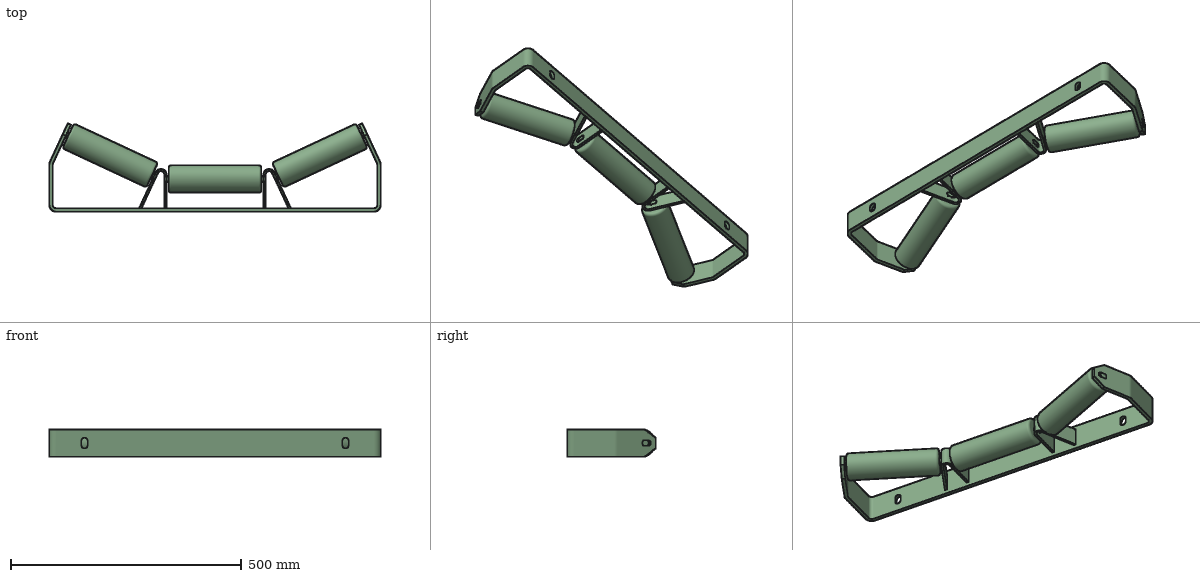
import cadquery as cq
import math

FRAME_LENGTH = 720.0
FRAME_HEIGHT = 192.0
BAR_WIDTH = 60.0
FRAME_THICKNESS = 8.0
FRAME_BEND_RADIUS = 15.0
ARM_BEND_HEIGHT = 106.0
ARM_ANGLE = 25.0
ARM_CORNER_ALONG = 27.0
ARM_CORNER_ACROSS = 18.0

MOUNT_SLOT_SPACING = 567.0
MOUNT_SLOT_LENGTH = 23.0
MOUNT_SLOT_WIDTH = 14.0

BRACKET_WIDTH = 40.0
BRACKET_THICKNESS = 5.0
BRACKET_BEND_RADIUS = 12.0

ROLLER_LENGTH = 201.5
ROLLER_DIAMETER = 60.0
ROLLER_EDGE_RADIUS = 6.0
ROLLER_GAP = 4.0
SHAFT_DIAMETER = 15.0
SHAFT_FLATS = 11.5
SHAFT_SLOT_LENGTH = 20.0
SIDE_SHAFT_FROM_TIP = 24.5
MIDDLE_SHAFT_HEIGHT = 71.0

angle = math.radians(ARM_ANGLE)
half_length = FRAME_LENGTH / 2
support_distance = ROLLER_LENGTH / 2 + ROLLER_GAP

arm_bend = cq.Vector(-half_length, ARM_BEND_HEIGHT)
along_arm = cq.Vector(math.sin(angle), math.cos(angle))
along_side_roller = cq.Vector(math.cos(angle), -math.sin(angle))
arm_length = (FRAME_HEIGHT - ARM_BEND_HEIGHT) / math.cos(angle)
arm_tip = arm_bend + along_arm * arm_length

side_roller_centre = (
    arm_tip
    - along_arm * SIDE_SHAFT_FROM_TIP
    + along_side_roller * (FRAME_THICKNESS + support_distance)
)
middle_roller_centre = cq.Vector(0, MIDDLE_SHAFT_HEIGHT)


def bent_strip(path, width, thickness, bend_radius):
    """Strip, width along Z, whose outer face follows path; the material lies to the left of it."""
    directions = [(end - start).normalized() for start, end in zip(path, path[1:])]
    normals = [cq.Vector(-d.y, d.x) for d in directions]
    inner = [path[0] + normals[0] * thickness]
    for corner, before, after in zip(path[1:-1], normals, normals[1:]):
        mitre = (before + after) * (thickness / (1 + before.dot(after)))
        inner.append(corner + mitre)
    inner.append(path[-1] + normals[-1] * thickness)

    outline = [(p.x, p.y) for p in path + inner[::-1]]
    strip = cq.Workplane("XY").polyline(outline).close().extrude(width / 2, both=True)
    for corners, radius in ((path, bend_radius), (inner, bend_radius - thickness)):
        for corner in corners[1:-1]:
            strip = strip.edges(cq.NearestToPointSelector((corner.x, corner.y, 0))).fillet(radius)
    return strip


def place_left(body):
    """Move a body built along X at the origin to the left inclined roller position."""
    return body.rotate((0, 0, 0), (0, 0, 1), -ARM_ANGLE).translate(side_roller_centre)


def place_middle(body):
    return body.translate(middle_roller_centre)


def mirrored(body):
    return body.mirror("YZ")


def make_shaft(left_depth, right_depth):
    """Round bar with two flats, reaching the given depths into the left and right supports."""
    start = -support_distance - left_depth
    length = 2 * support_distance + left_depth + right_depth
    bar = cq.Workplane("YZ", origin=(start, 0, 0)).circle(SHAFT_DIAMETER / 2).extrude(length)
    slab = (
        cq.Workplane("YZ", origin=(start, 0, 0))
        .rect(SHAFT_DIAMETER, SHAFT_FLATS)
        .extrude(length)
    )
    return bar.intersect(slab)


def make_roller(left_depth, right_depth):
    """Roller with rounded ends on its shaft."""
    shell = (
        cq.Workplane("YZ", origin=(-ROLLER_LENGTH / 2, 0, 0))
        .circle(ROLLER_DIAMETER / 2)
        .extrude(ROLLER_LENGTH)
    )
    shell = shell.faces("<X or >X").edges().fillet(ROLLER_EDGE_RADIUS)
    return shell.union(make_shaft(left_depth, right_depth))


def shaft_slots(left_depth, right_depth):
    """Cutter for the slots at both ends of a roller, with lower ends shaped to seat the shaft."""
    slots = (
        cq.Workplane("YZ", origin=(-support_distance - left_depth, 0, 0))
        .center((SHAFT_SLOT_LENGTH - SHAFT_DIAMETER) / 2, 0)
        .slot2D(SHAFT_SLOT_LENGTH, SHAFT_FLATS)
        .extrude(2 * support_distance + left_depth + right_depth)
    )
    return slots.union(make_shaft(left_depth, right_depth))


side_slots = place_left(shaft_slots(FRAME_THICKNESS, BRACKET_BEND_RADIUS))
middle_slots = place_middle(shaft_slots(BRACKET_BEND_RADIUS, BRACKET_BEND_RADIUS))


def arm_corner_cutter():
    """Triangular prisms that chamfer both corners of the left arm tip."""
    tip_plane = cq.Plane(
        origin=arm_tip.toTuple(), xDir=along_arm.toTuple(), normal=along_side_roller.toTuple()
    )
    edge = BAR_WIDTH / 2
    cutter = cq.Workplane(tip_plane)
    for side in (-1, 1):
        cutter = (
            cutter.moveTo(0, side * edge)
            .lineTo(-ARM_CORNER_ALONG, side * edge)
            .lineTo(0, side * (edge - ARM_CORNER_ACROSS))
            .close()
        )
    return cutter.extrude(FRAME_THICKNESS)


def make_frame():
    left_path = [arm_tip, arm_bend, cq.Vector(-half_length, 0)]
    right_path = [cq.Vector(-p.x, p.y) for p in reversed(left_path)]
    frame = bent_strip(left_path + right_path, BAR_WIDTH, FRAME_THICKNESS, FRAME_BEND_RADIUS)

    for cutter in (arm_corner_cutter(), side_slots):
        frame = frame.cut(cutter).cut(mirrored(cutter))

    mount_slots = (
        cq.Workplane("XZ")
        .pushPoints([(-MOUNT_SLOT_SPACING / 2, 0), (MOUNT_SLOT_SPACING / 2, 0)])
        .slot2D(MOUNT_SLOT_LENGTH, MOUNT_SLOT_WIDTH, 90)
        .extrude(-FRAME_THICKNESS)
    )
    return frame.cut(mount_slots)


def make_left_bracket():
    """Inverted V with one leg square to the left roller and one square to the middle roller."""
    inclined_face = side_roller_centre + along_side_roller * support_distance
    upright_x = -support_distance
    apex = inclined_face + along_arm * ((upright_x - inclined_face.x) / along_arm.x)
    inclined_foot = apex - along_arm * (apex.y / along_arm.y)
    upright_foot = cq.Vector(upright_x, 0)
    bracket = bent_strip(
        [upright_foot, apex, inclined_foot], BRACKET_WIDTH, BRACKET_THICKNESS, BRACKET_BEND_RADIUS
    )

    base = cq.Workplane("XY").box(FRAME_LENGTH, 2 * FRAME_THICKNESS, BRACKET_WIDTH)
    return bracket.cut(base).cut(side_slots).cut(middle_slots)


frame = make_frame()
left_bracket = make_left_bracket()
brackets = [left_bracket, mirrored(left_bracket)]
left_roller = place_left(make_roller(FRAME_THICKNESS, BRACKET_THICKNESS))
middle_roller = place_middle(make_roller(BRACKET_THICKNESS, BRACKET_THICKNESS))
rollers = [left_roller, middle_roller, mirrored(left_roller)]

result = cq.Compound.makeCompound([body.solids().val() for body in [frame, *brackets, *rollers]])